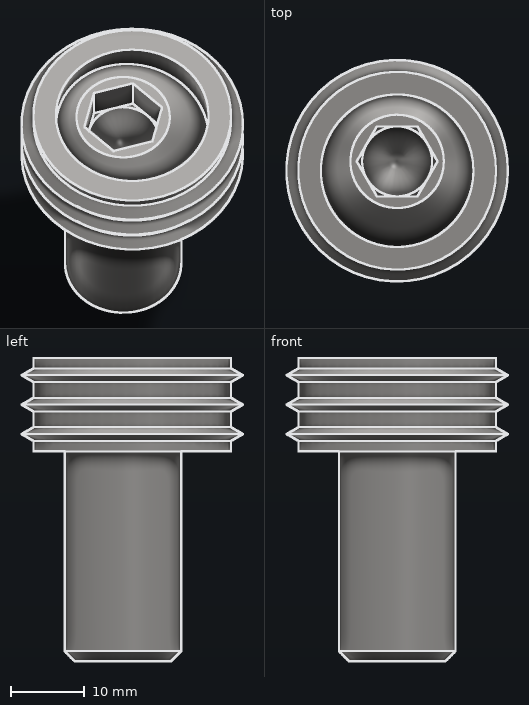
import cadquery as cq
import math

ring_diameter = 26.9
ridge_diameter = 30.15
ring_height = 12.7
bore_diameter = 20.75
ridge_count = 3
ridge_pitch = 4.0
ridge_flank_angle = 30.0

overall_height = 41.27
shank_diameter = 15.875
shank_offset = 1.27
shank_chamfer = 1.4
shank_length = overall_height - ring_height
dome_radius = 13.9
dome_flat_diameter = 12.7
dome_flat_recess = 1.0
hex_across_flats = 9.525
hex_depth = 5.4
socket_tip_angle = 120.0

ring_top = ring_height
head_top = ring_top - dome_flat_recess


def build_ring():
    """Ring with evenly spaced ridges about its mid-height and a straight bore."""
    ring_radius = ring_diameter / 2
    ridge_radius = ridge_diameter / 2
    ridge_half_height = (ridge_radius - ring_radius) * math.tan(math.radians(ridge_flank_angle))
    lowest_ridge = ring_height / 2 - ridge_pitch * (ridge_count - 1) / 2

    profile = cq.Workplane("XZ").moveTo(bore_diameter / 2, 0).lineTo(ring_radius, 0)
    for index in range(ridge_count):
        crest = lowest_ridge + index * ridge_pitch
        profile = profile.lineTo(ring_radius, crest - ridge_half_height)
        profile = profile.lineTo(ridge_radius, crest)
        profile = profile.lineTo(ring_radius, crest + ridge_half_height)
    profile = profile.lineTo(ring_radius, ring_top).lineTo(bore_diameter / 2, ring_top).close()
    return profile.revolve(360, (0, 0, 0), (0, 1, 0))


def build_head():
    """Cylinder in the bore, topped by a flat-ended dome centred on the shank axis."""
    flat_radius = dome_flat_diameter / 2
    dome_centre = head_top - math.sqrt(dome_radius**2 - flat_radius**2)
    cylinder = cq.Workplane("XY").circle(bore_diameter / 2).extrude(head_top)
    dome = cq.Workplane("XY").sphere(dome_radius).translate((0, shank_offset, dome_centre))
    return cylinder.intersect(dome)


def build_shank():
    """Plain shank below the head, chamfered at its free end."""
    shank = cq.Workplane("XY").center(0, shank_offset).circle(shank_diameter / 2).extrude(-shank_length)
    return shank.faces("<Z").chamfer(shank_chamfer)


def build_socket():
    """Hexagonal socket with a conical drill tip at its bottom."""
    tip_radius = hex_across_flats / 2
    tip_depth = tip_radius / math.tan(math.radians(socket_tip_angle / 2))
    socket_floor = head_top - hex_depth
    across_corners = hex_across_flats / math.cos(math.pi / 6)
    hexagon = (
        cq.Workplane("XY", origin=(0, shank_offset, socket_floor))
        .polygon(6, across_corners)
        .extrude(hex_depth)
    )
    tip_base = cq.Vector(0, shank_offset, socket_floor)
    downward = cq.Vector(0, 0, -1)
    tip = cq.Solid.makeCone(tip_radius, 0, tip_depth, tip_base, downward)
    return hexagon.union(cq.Workplane(tip))


ring = build_ring()
screw = build_head().union(build_shank()).cut(build_socket())

result = cq.Compound.makeCompound([ring.val(), screw.solids().val()])